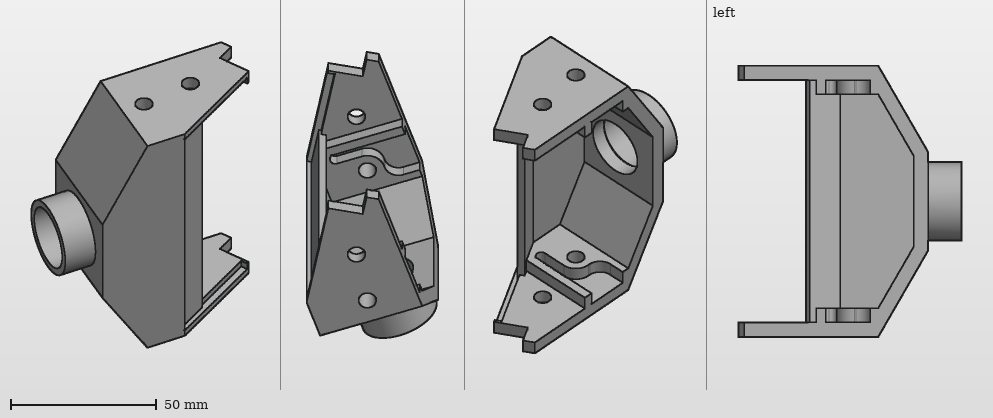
import cadquery as cq
import math

LEFT_X = -18.0
RIGHT_X = 19.0
HALF_HEIGHT = 46.5
PLATE = 5.0
PEAK_Y = 65.08
BEVEL_Y = 17.1
TAN60 = math.tan(math.radians(60))
TAN15 = math.tan(math.radians(15))
COS60 = math.cos(math.radians(60))
SIN60 = math.sin(math.radians(60))

SLANT_LENGTH = 39.0
NOTCH_LONG_SIDE = 12.0
SLANT_TOP = (RIGHT_X - SLANT_LENGTH * COS60, PEAK_Y)
SLANT_FOOT = (RIGHT_X, PEAK_Y - SLANT_LENGTH * SIN60)
NOTCH = (SLANT_TOP[0] - NOTCH_LONG_SIDE * SIN60, PEAK_Y - NOTCH_LONG_SIDE * COS60)
LEFT_TIP = (NOTCH[0] - (PEAK_Y - NOTCH[1]) / TAN60, PEAK_Y)
LEFT_END_Y = PEAK_Y - (LEFT_TIP[0] - LEFT_X) / TAN60

WALL_INSET = 4.3
WALL_END = 13.2
RECESS_DEPTH = 1.7
LEDGE_DEPTH = 2.5
LEDGE_HEIGHT = 2.5
LEDGE_END = 1.0

PAD_THICKNESS = 4.9
PAD_END_Y = 38.4
POCKET_REAR_Y = 35.15
POCKET_FRONT_Y = 19.8
POCKET_RIM = 2.5
POCKET_WALL_INSET = WALL_INSET + POCKET_RIM
NOSE_RADIUS = 6.0
POCKET_FILLET = 5.0
POCKET_END_FILLET = 1.8

HOLE_DIAMETER = 6.0
NOSE_HOLE = (-1.0, 25.4)
REAR_HOLE = (-3.5, 44.25)

SOCKET_DIAMETER = 27.0
SOCKET_LENGTH = 11.5
SOCKET_BORE = 22.0
SOCKET_DEPTH = 11.0
THROUGH_BORE = 21.2

PLATE_GAP_HALF = HALF_HEIGHT - PLATE
PAD_GAP_HALF = PLATE_GAP_HALF - PAD_THICKNESS


def slant_point(along, inset):
    """Point `along` the slant from its foot and `inset` square to it, into the part."""
    return (
        SLANT_FOOT[0] - along * COS60 - inset * SIN60,
        SLANT_FOOT[1] + along * SIN60 - inset * COS60,
    )


def inset_corner(inset):
    """Corner of the slant and the right side, both moved inwards by `inset`."""
    return (RIGHT_X - inset, SLANT_FOOT[1] - inset * TAN15)


def prism(points, bottom, top):
    """Solid with the given XY outline, standing from `bottom` to `top` in Z."""
    return cq.Workplane("XY").workplane(offset=bottom).polyline(points).close().extrude(top - bottom)


def side_profile(front_y, half_height, rear_y):
    """Full-width solid of a YZ outline with both front corners bevelled at 60 degrees."""
    front_half = half_height - (BEVEL_Y - front_y) * TAN60
    points = [
        (front_y, -front_half), (BEVEL_Y, -half_height), (rear_y, -half_height),
        (rear_y, half_height), (BEVEL_Y, half_height), (front_y, front_half),
    ]
    outline = cq.Workplane("YZ").workplane(offset=LEFT_X).polyline(points).close()
    return outline.extrude(RIGHT_X - LEFT_X)


def make_shell():
    """C-shaped shell with its raised pads and the side wall on the right."""
    outline = [
        (LEFT_X, 0), (RIGHT_X, 0), SLANT_FOOT, SLANT_TOP, NOTCH, LEFT_TIP, (LEFT_X, LEFT_END_Y),
    ]
    body = prism(outline, -HALF_HEIGHT, HALF_HEIGHT).intersect(side_profile(0, HALF_HEIGHT, PEAK_Y))

    behind_pads = prism(
        [(LEFT_X, PAD_END_Y), (RIGHT_X, PAD_END_Y), (RIGHT_X, PEAK_Y), (LEFT_X, PEAK_Y)],
        -PLATE_GAP_HALF, PLATE_GAP_HALF,
    )
    cavity = side_profile(PLATE, PAD_GAP_HALF, PEAK_Y).union(behind_pads)

    wall = prism(
        [
            (RIGHT_X, 0), SLANT_FOOT, slant_point(WALL_END, 0), slant_point(WALL_END, WALL_INSET),
            inset_corner(WALL_INSET), (RIGHT_X - WALL_INSET, 0),
        ],
        -HALF_HEIGHT, HALF_HEIGHT,
    )
    return body.cut(cavity.cut(wall))


def slant_strip(start, end, depth, half_height):
    """Strip of material along the slanted edge, `depth` deep."""
    points = [slant_point(start, 0), slant_point(end, 0), slant_point(end, depth), slant_point(start, depth)]
    return prism(points, -half_height, half_height)


def cut_slant_recess(body):
    """Recess over the side wall, continued as a rabbet in both plates almost to the tips."""
    ledge_end = SLANT_LENGTH - LEDGE_END
    body = body.cut(slant_strip(0, WALL_END, RECESS_DEPTH, PLATE_GAP_HALF + LEDGE_HEIGHT))
    return body.cut(slant_strip(WALL_END, ledge_end, LEDGE_DEPTH, PLATE_GAP_HALF + LEDGE_HEIGHT))


def make_pocket(bottom):
    """L-shaped pocket open to the left, wrapped around the rounded nose at the front hole."""
    nose_x = NOSE_HOLE[0] - NOSE_RADIUS
    nose_y = NOSE_HOLE[1] + NOSE_RADIUS
    corner = inset_corner(POCKET_WALL_INSET)

    def wall_x(y):
        return corner[0] - (y - corner[1]) / TAN60

    outline = [
        (LEFT_X, POCKET_FRONT_Y), (nose_x, POCKET_FRONT_Y), (nose_x, nose_y),
        (wall_x(nose_y), nose_y), (wall_x(POCKET_REAR_Y), POCKET_REAR_Y), (LEFT_X, POCKET_REAR_Y),
    ]
    pocket = prism(outline, bottom, bottom + PAD_THICKNESS)
    for point, radius in (
        (outline[1], POCKET_FILLET), (outline[2], NOSE_RADIUS), (outline[3], POCKET_END_FILLET),
    ):
        edge = cq.selectors.NearestToPointSelector((point[0], point[1], bottom + PAD_THICKNESS / 2))
        pocket = pocket.edges("|Z").edges(edge).fillet(radius)
    return pocket


def make_holes():
    holes = cq.Workplane("XY").workplane(offset=-HALF_HEIGHT).pushPoints([NOSE_HOLE, REAR_HOLE])
    return holes.circle(HOLE_DIAMETER / 2).extrude(2 * HALF_HEIGHT)


def front_cylinder(diameter, start_y, end_y):
    plane = cq.Workplane("XZ", origin=(0, end_y, 0))
    return plane.circle(diameter / 2).extrude(end_y - start_y)


def add_socket(body):
    """Tube on the front face, bored to a small step and then through the front wall."""
    step_y = SOCKET_DEPTH - SOCKET_LENGTH
    body = body.union(front_cylinder(SOCKET_DIAMETER, -SOCKET_LENGTH, 0))
    body = body.cut(front_cylinder(SOCKET_BORE, -SOCKET_LENGTH, step_y))
    return body.cut(front_cylinder(THROUGH_BORE, step_y, PLATE))


bracket = cut_slant_recess(make_shell())
for pocket_bottom in (PAD_GAP_HALF, -PLATE_GAP_HALF):
    bracket = bracket.cut(make_pocket(pocket_bottom))
bracket = bracket.cut(make_holes())
result = add_socket(bracket)